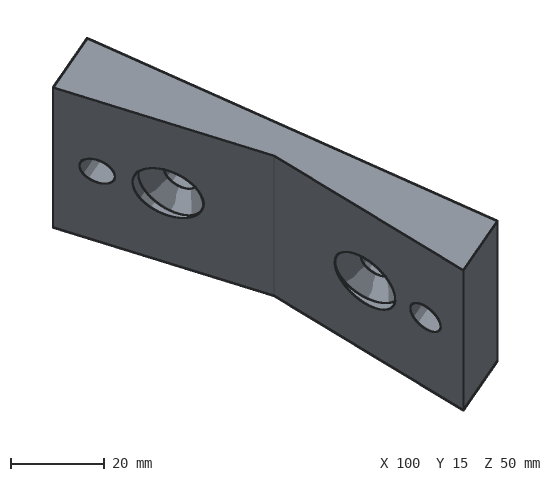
import cadquery as cq

length = 100.0
height = 50.0
end_thickness = 15.0
valley_thickness = 8.0

hole_diameter = 8.0
plain_hole_offset = 40.0
screw_hole_offset = 24.0
countersink_diameter = 16.0
cone_narrow_level = 6.0
cone_wide_level = 10.0


def block():
    profile = [
        (-length / 2, 0),
        (length / 2, 0),
        (length / 2, -end_thickness),
        (0, -valley_thickness),
        (-length / 2, -end_thickness),
    ]
    return cq.Workplane("XY").polyline(profile).close().extrude(height / 2, both=True)


def plain_hole(x):
    """Cutter for a straight hole through the full thickness."""
    return cq.Workplane("XZ").center(x, 0).circle(hole_diameter / 2).extrude(end_thickness)


def countersunk_hole(x):
    """Cutter for a through hole with a cone and a straight recess up to the sloping face."""
    hole_radius = hole_diameter / 2
    head_radius = countersink_diameter / 2
    half_section = [
        (0, 0),
        (hole_radius, 0),
        (hole_radius, -cone_narrow_level),
        (head_radius, -cone_wide_level),
        (head_radius, -end_thickness),
        (0, -end_thickness),
    ]
    cutter = cq.Workplane("XY").polyline(half_section).close().revolve(360, (0, 0), (0, 1))
    return cutter.translate((x, 0, 0))


result = block()
for side in (-1, 1):
    result = result.cut(plain_hole(side * plain_hole_offset))
    result = result.cut(countersunk_hole(side * screw_hole_offset))